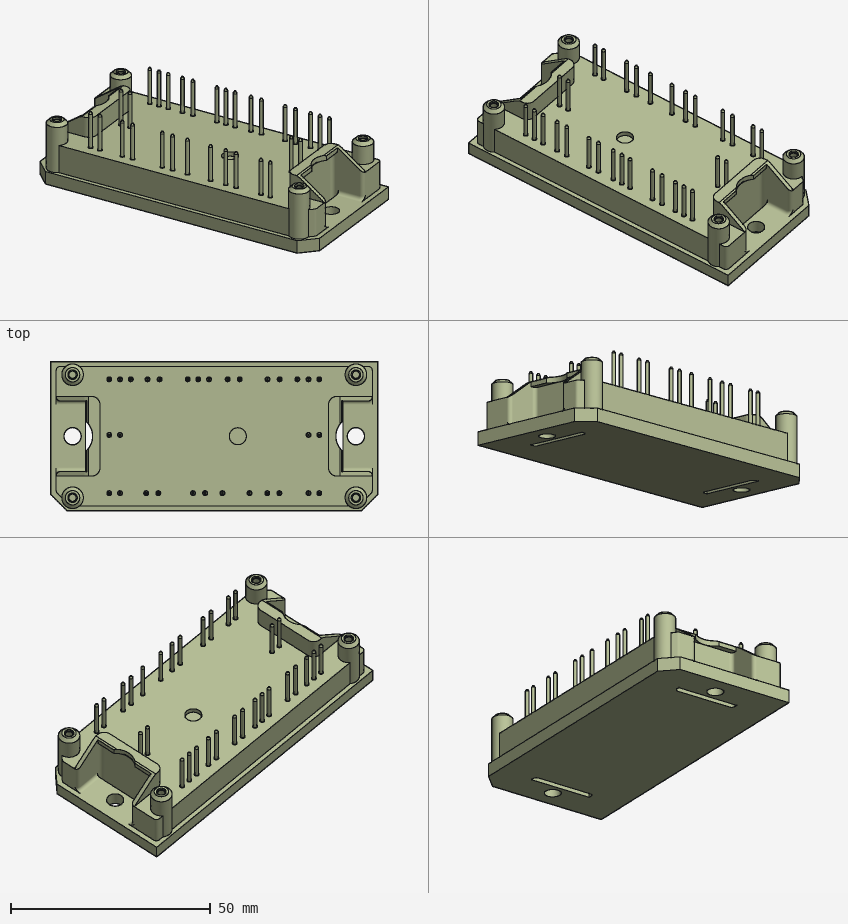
import cadquery as cq

BASE_LENGTH = 82
BASE_WIDTH = 37.4
BASE_HEIGHT = 3.5
BASE_CHAMFER = 4.1

HOUSING_LENGTH = 79.2
HOUSING_WIDTH = 34.9
HOUSING_TOP = 11.15
HOUSING_CHAMFER = 3.45
EDGE_RADIUS = 1.0

FIXING_X = 35.5
FIXING_HOLE_DIAMETER = 4.3
POCKET_WIDTH = 17.7
POCKET_WALL_X = 30.4
SLOT_OUTER_X = 32.2
FRAME_WIDTH = 20.0
FRAME_TOP = 16.65
FRAME_BACK_X = 28.6
FRAME_BACK_RADIUS = 2.1
CREST_X = 31.5
CREST_DROP = 0.5
SLOPE_START_X = 32.5
LIP_BOTTOM = 15.2
LIP_X = 32
SCREW_HEAD_RADIUS = 5.0

POST_Y = 15.4
POST_DIAMETER = 5.4
POST_TOP = 17.1
POST_CHAMFER = 0.9
POST_COUNTERBORE_DIAMETER = 2.4
POST_COUNTERBORE_DEPTH = 0.5
POST_BORE_DIAMETER = 1.8
POST_BORE_DEPTH = 4.9

RECESS_X = 5.9
RECESS_DIAMETER = 4.3
RECESS_DEPTH = 1.2

PIN_TOP = 21.2
PIN_DIAMETER = 1.0
PIN_TIP_HEIGHT = 0.6
PIN_TIP_INSET = 0.3
COLLAR_DIAMETER = 1.2
COLLAR_HEIGHT = 0.1
PIN_ROW_Y = 14.3
MIDDLE_PIN_Y = 0.3
END_PINS_X = [-26.3, -23.6, 23.6, 26.3]
BACK_ROW_X = [-20.9, -16.7, -13.7, -6.65, -4.0, -1.3, 3.4, 6.4, 13.4, 16.4, 20.8]
FRONT_ROW_X = [-17.05, -14.0, -5.3, -2.3, 2.05, 8.85, 13.3, 16.3]


def plate():
    """Base plate with its two front corners cut off."""
    blank = cq.Workplane("XY").box(BASE_LENGTH, BASE_WIDTH, BASE_HEIGHT, centered=(True, True, False))
    return blank.edges("|Z and <Y").chamfer(BASE_CHAMFER)


def housing():
    """Block with chamfered front corners and all its upright edges rounded."""
    block = cq.Workplane("XY").box(HOUSING_LENGTH, HOUSING_WIDTH, HOUSING_TOP, centered=(True, True, False))
    return block.edges("|Z and <Y").chamfer(HOUSING_CHAMFER).edges("|Z").fillet(EDGE_RADIUS)


def frame():
    """Raised wall of the -X pocket, sloping down to the housing end."""
    end_x = HOUSING_LENGTH / 2
    profile = [
        (-end_x, BASE_HEIGHT),
        (-end_x, HOUSING_TOP),
        (-SLOPE_START_X, FRAME_TOP - CREST_DROP),
        (-CREST_X, FRAME_TOP),
        (-FRAME_BACK_X, FRAME_TOP),
        (-FRAME_BACK_X, BASE_HEIGHT),
    ]
    wall = cq.Workplane("XZ").polyline(profile).close().extrude(FRAME_WIDTH / 2, both=True)
    return wall.edges("|Z and >X").fillet(FRAME_BACK_RADIUS)


def bay(outer_x, bottom, top):
    """Pocket space between two heights, from outer_x to the rounded inner wall at the -X end."""
    return (
        cq.Workplane("XY", origin=(-outer_x, 0, bottom))
        .box(outer_x - POCKET_WALL_X, POCKET_WIDTH, top - bottom, centered=(False, True, False))
        .edges("|Z and >X").fillet(EDGE_RADIUS)
    )


def pocket():
    """Space for the -X screw: a bay undercutting the lip and an opening past the lip above it."""
    outer_x = HOUSING_LENGTH / 2
    lip_height = FRAME_TOP - LIP_BOTTOM
    opening = (
        cq.Workplane("XY", origin=(-outer_x, 0, LIP_BOTTOM))
        .box(outer_x - LIP_X, POCKET_WIDTH, lip_height, centered=(False, True, False))
    )
    screw_head = (
        cq.Workplane("XY", origin=(-FIXING_X, 0, LIP_BOTTOM)).circle(SCREW_HEAD_RADIUS).extrude(lip_height)
    )
    return bay(outer_x, 0, LIP_BOTTOM).union(opening).union(screw_head)


def round_pocket_mouths(solid):
    """Round the upright edges where the pocket sides meet the housing ends."""
    end_x = HOUSING_LENGTH / 2
    side_y = POCKET_WIDTH / 2
    reach = 0.1
    for x in (-end_x, end_x):
        for y in (-side_y, side_y):
            around_edge = cq.selectors.BoxSelector(
                (x - reach, y - reach, 0), (x + reach, y + reach, HOUSING_TOP)
            )
            solid = solid.edges("|Z").edges(around_edge).fillet(EDGE_RADIUS)
    return solid


def foot_section():
    """Concave foot outline, placed at the centre of the rounded +Y mouth corner of the -X pocket."""
    corner_x = EDGE_RADIUS - HOUSING_LENGTH / 2
    corner_y = EDGE_RADIUS + POCKET_WIDTH / 2
    return (
        cq.Workplane("YZ", origin=(corner_x, corner_y, BASE_HEIGHT))
        .moveTo(-EDGE_RADIUS, 0)
        .lineTo(-EDGE_RADIUS, EDGE_RADIUS)
        .radiusArc((-2 * EDGE_RADIUS, 0), EDGE_RADIUS)
        .close()
    )


def foot():
    """Foot along the +Y side of the -X pocket, curling round the mouth up to the housing end."""
    straight = foot_section().extrude(HOUSING_LENGTH / 2 - EDGE_RADIUS - SLOT_OUTER_X)
    curl = foot_section().revolve(90, (0, 0, 0), (0, -1, 0))
    within_housing = cq.Workplane("XY").box(HOUSING_LENGTH, HOUSING_WIDTH, 2 * HOUSING_TOP)
    return straight.union(curl.intersect(within_housing))


def post():
    """Hollow support post standing on the plate, centred on the Z axis."""
    return (
        cq.Workplane("XY")
        .circle(POST_DIAMETER / 2)
        .extrude(POST_TOP)
        .faces(">Z").chamfer(POST_CHAMFER)
        .faces(">Z").workplane().cboreHole(
            POST_BORE_DIAMETER, POST_COUNTERBORE_DIAMETER, POST_COUNTERBORE_DEPTH, POST_BORE_DEPTH
        )
    )


def pin():
    """Contact pin with a thin collar where it leaves the housing."""
    shaft = (
        cq.Workplane("XY")
        .circle(PIN_DIAMETER / 2)
        .extrude(PIN_TOP)
        .faces(">Z").chamfer(PIN_TIP_HEIGHT, PIN_TIP_INSET)
    )
    collar = cq.Workplane("XY").circle(COLLAR_DIAMETER / 2).extrude(HOUSING_TOP + COLLAR_HEIGHT)
    return shaft.union(collar)


def both_ends(solid):
    """The solid together with its mirror image at the +X end."""
    return solid.union(solid.mirror("YZ"))


body = housing().union(both_ends(frame())).cut(both_ends(pocket()))
body = round_pocket_mouths(body)
plate_slot = bay(SLOT_OUTER_X, 0, BASE_HEIGHT)
feet = both_ends(foot().union(foot().mirror("XZ")))
result = plate().cut(both_ends(plate_slot)).union(body).union(feet)

fixing_hole = cq.Workplane("XY").circle(FIXING_HOLE_DIAMETER / 2).extrude(BASE_HEIGHT)
for x in (-FIXING_X, FIXING_X):
    result = result.cut(fixing_hole.translate((x, 0, 0)))
    for y in (-POST_Y, POST_Y):
        result = result.union(post().translate((x, y, 0)))

recess = (
    cq.Workplane("XY", origin=(RECESS_X, 0, HOUSING_TOP))
    .circle(RECESS_DIAMETER / 2)
    .extrude(-RECESS_DEPTH)
)
result = result.cut(recess)

pin_rows = [
    (PIN_ROW_Y, END_PINS_X + BACK_ROW_X),
    (MIDDLE_PIN_Y, END_PINS_X),
    (-PIN_ROW_Y, END_PINS_X + FRONT_ROW_X),
]
for y, row in pin_rows:
    for x in row:
        result = result.union(pin().translate((x, y, 0)))